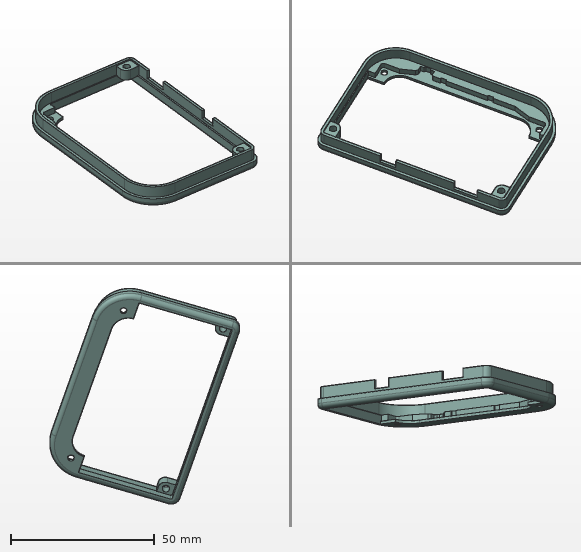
import cadquery as cq

length = 73.75
width = 50.15
height = 7.7
back_radius = 3.2
front_radius = 13.5
base_height = 3.3
bottom_fillet = 1.6

wall_inset = 1.0
wall_thickness = 1.0
wall_inner_inset = wall_inset + wall_thickness

side_ledge_inset = 2.5
back_ledge_inset = 2.7
opening_corner_radius = 0.6
half_opening = length / 2 - side_ledge_inset

boss_bottom = 3.0
boss_top = 7.1
boss_edge_x = 30.0
boss_edge_y = 16.8
boss_radius = 2.5
boss_hole_x = 32.45
boss_hole_y = 19.55
boss_hole_diameter = 2.5

plate_thickness = 1.0
plate_back_y = -11.65
plate_front_y = -17.7
plate_cutout_half = 27.95
plate_cutout_radius = plate_back_y - plate_front_y
plate_hole_x = 29.9
plate_hole_y = -15.9
plate_hole_diameter = 2.2

land_back_y = -12.4
recess_half = 31.7
recess_corner_y = -17.9
recess_corner_radius = 0.95
slope_outer_x = 25.0
slope_inner_x = 18.5
recess_front_y = -20.05
tab_notch_depth = 0.5
tab_notch_width = 2.15
tab_notch_xs = (-9.0, 9.2)

bay_x = 16.3
bay_half = 2.65
bay_front_y = -22.2
bay_left_chamfer = 0.6
bay_right_chamfer = 0.75
bay_nose_half = 1.4
bay_nose_tip_half = 0.8
bay_nose_y = -22.8

wall_notches = ((-25.2, -16.3), (6.1, 12.2))
notch_floor = 4.5


def frame_solid(inset, bottom, top):
    """Solid with the rounded frame outline, moved inward by inset."""
    body = (
        cq.Workplane("XY")
        .workplane(offset=bottom)
        .rect(length - 2 * inset, width - 2 * inset)
        .extrude(top - bottom)
    )
    body = body.edges("|Z and >Y").fillet(back_radius - inset)
    return body.edges("|Z and <Y").fillet(front_radius - inset)


def box_between(x_min, x_max, y_min, y_max, bottom, top):
    """Box given by its limits on each axis."""
    size = (x_max - x_min, y_max - y_min, top - bottom)
    return cq.Workplane("XY").box(*size, centered=False).translate((x_min, y_min, bottom))


def make_ring():
    """Base with a rounded bottom edge and the upright wall, open in the middle."""
    base = frame_solid(0, 0, base_height).faces("<Z").edges().fillet(bottom_fillet)
    wall = frame_solid(wall_inset, base_height, height)
    pocket = frame_solid(wall_inner_inset, base_height, height)
    opening = box_between(
        -half_opening, half_opening, plate_back_y, width / 2 - back_ledge_inset, 0, base_height
    )
    opening = opening.edges("|Z and >Y").fillet(opening_corner_radius)
    return base.union(wall).cut(pocket).cut(opening)


def shelf_cutout():
    """Opening through the shelf, with large round front corners."""
    cutout = (
        cq.Workplane("XY")
        .moveTo(-plate_cutout_half, plate_back_y)
        .radiusArc((-plate_cutout_half + plate_cutout_radius, plate_front_y), -plate_cutout_radius)
        .lineTo(plate_cutout_half - plate_cutout_radius, plate_front_y)
        .radiusArc((plate_cutout_half, plate_back_y), -plate_cutout_radius)
        .close()
    )
    return cutout.extrude(base_height)


def shelf_recess():
    """Volume above the thin plate, leaving the raised land along the wall."""
    depth = base_height - plate_thickness
    plane = cq.Workplane("XY").workplane(offset=plate_thickness)

    pocket = box_between(
        -recess_half, recess_half, recess_corner_y, plate_back_y, plate_thickness, base_height
    )
    pocket = pocket.edges("|Z and <Y").fillet(recess_corner_radius)
    back_strip = box_between(
        -half_opening, half_opening, land_back_y, plate_back_y, plate_thickness, base_height
    )
    trough = plane.polyline(
        [
            (-slope_outer_x, recess_corner_y),
            (-slope_inner_x, recess_front_y),
            (slope_inner_x, recess_front_y),
            (slope_outer_x, recess_corner_y),
        ]
    ).close().extrude(depth)
    recess = pocket.union(back_strip).union(trough)

    for x in tab_notch_xs:
        recess = recess.union(
            box_between(
                x - tab_notch_width / 2,
                x + tab_notch_width / 2,
                recess_front_y - tab_notch_depth,
                recess_front_y,
                plate_thickness,
                base_height,
            )
        )
    bay_left = bay_x - bay_half
    bay_right = bay_x + bay_half
    slope = (recess_corner_y - recess_front_y) / (slope_outer_x - slope_inner_x)
    mouth_right = bay_right + bay_right_chamfer
    mouth_right_y = recess_front_y + slope * (mouth_right - slope_inner_x)
    bay = plane.polyline(
        [
            (bay_left - bay_left_chamfer, recess_front_y),
            (bay_left, recess_front_y - bay_left_chamfer),
            (bay_left, bay_front_y),
            (bay_x - bay_nose_half, bay_front_y),
            (bay_x - bay_nose_tip_half, bay_nose_y),
            (bay_x + bay_nose_tip_half, bay_nose_y),
            (bay_x + bay_nose_half, bay_front_y),
            (bay_right, bay_front_y),
            (bay_right, mouth_right_y - bay_right_chamfer),
            (mouth_right, mouth_right_y),
        ]
    ).close().extrude(depth)
    return recess.union(bay)


def make_boss(side):
    """Back corner boss with a through hole; side is -1 (left) or 1 (right)."""
    block = box_between(boss_edge_x, length / 2, boss_edge_y, width / 2, boss_bottom, boss_top)
    block = block.edges("|Z and <X and <Y").fillet(boss_radius)
    hole = (
        cq.Workplane("XY")
        .center(boss_hole_x, boss_hole_y)
        .circle(boss_hole_diameter / 2)
        .extrude(height)
    )
    boss = block.intersect(frame_solid(wall_inset, boss_bottom, boss_top)).cut(hole)
    return boss if side > 0 else boss.mirror("YZ")


result = make_ring().cut(shelf_cutout()).cut(shelf_recess())
for left, right in wall_notches:
    result = result.cut(
        box_between(left, right, width / 2 - wall_inner_inset, width / 2, notch_floor, height)
    )
for side in (-1, 1):
    result = result.union(make_boss(side))
    shelf_hole = cq.Workplane("XY").center(side * plate_hole_x, plate_hole_y)
    result = result.cut(shelf_hole.circle(plate_hole_diameter / 2).extrude(base_height))